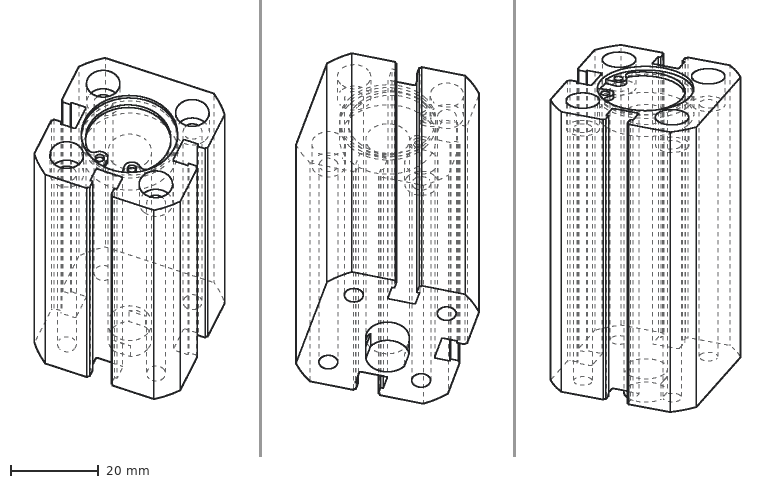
import cadquery as cq
import math

HOUSING_WIDTH = 36.0
CORNER_DIAMETER = 44.9
TOTAL_LENGTH = 78.0
ROD_PROTRUSION = 6.0
HOUSING_HEIGHT = TOTAL_LENGTH - ROD_PROTRUSION

SLOT_MOUTH_WIDTH = 5.3
SLOT_INNER_WIDTH = 6.55
SLOT_LIP_DEPTH = 2.35
SLOT_DEPTH = 6.0
SLOT_EDGE_RADIUS = 0.5
SLOT_FLOOR_RADIUS = 0.3
SLOT_SIDE_ANGLES = (-90, 0, 180)

HOLE_SPACING = 22.0
HOLE_DIAMETER = 4.3
COUNTERBORE_DIAMETER = 7.65
COUNTERBORE_DEPTH = 7.0

BORE_DIAMETER = 22.0
RING_RECESS = 0.9
RING_THICKNESS = 1.0
RING_OPENING_DIAMETER = 19.5
RING_OPENING_OFFSET = 0.8
LUG_RADIUS = 1.9
LUG_BLEND_RADIUS = 1.55
LUG_HOLE_DIAMETER = 2.0
LUG_X = 4.0
LUG_Y = -8.3
LUG_FOOT_X = 2.4

CAP_THICKNESS = 4.7

RING_TOP = HOUSING_HEIGHT - RING_RECESS
RING_BOTTOM = RING_TOP - RING_THICKNESS
CAP_BOTTOM = RING_BOTTOM - CAP_THICKNESS

ROD_DIAMETER = 10.0
FLATS_WIDTH = 9.1
ROD_COLLAR_LENGTH = 1.5


def make_slot_cutter(side_angle):
    """T-slot prism opening through the side that faces side_angle."""
    outer = HOUSING_WIDTH / 2
    edge = SLOT_EDGE_RADIUS
    corner = SLOT_FLOOR_RADIUS
    mouth = SLOT_MOUTH_WIDTH / 2
    inner = SLOT_INNER_WIDTH / 2
    lip = outer - SLOT_LIP_DEPTH
    floor = outer - SLOT_DEPTH
    return (
        cq.Workplane("XY")
        .moveTo(outer, -mouth - edge)
        .radiusArc((outer - edge, -mouth), edge)
        .lineTo(lip, -mouth)
        .lineTo(lip, -inner)
        .lineTo(floor + corner, -inner)
        .radiusArc((floor, -inner + corner), corner)
        .lineTo(floor, inner - corner)
        .radiusArc((floor + corner, inner), corner)
        .lineTo(lip, inner)
        .lineTo(lip, mouth)
        .lineTo(outer - edge, mouth)
        .radiusArc((outer, mouth + edge), edge)
        .close()
        .extrude(HOUSING_HEIGHT)
        .rotate((0, 0, 0), (0, 0, 1), side_angle)
    )


def make_housing():
    block = cq.Workplane("XY").rect(HOUSING_WIDTH, HOUSING_WIDTH).extrude(HOUSING_HEIGHT)
    corner_cylinder = cq.Workplane("XY").circle(CORNER_DIAMETER / 2).extrude(HOUSING_HEIGHT)
    housing = block.intersect(corner_cylinder)
    for side_angle in SLOT_SIDE_ANGLES:
        housing = housing.cut(make_slot_cutter(side_angle))
    housing = (
        housing.faces(">Z")
        .workplane(origin=(0, 0, 0))
        .rect(HOLE_SPACING, HOLE_SPACING, forConstruction=True)
        .vertices()
        .cboreHole(HOLE_DIAMETER, COUNTERBORE_DIAMETER, COUNTERBORE_DEPTH)
    )
    cap_bore = (
        cq.Workplane("XY", origin=(0, 0, CAP_BOTTOM))
        .circle(BORE_DIAMETER / 2)
        .extrude(HOUSING_HEIGHT - CAP_BOTTOM)
    )
    rod_bore = cq.Workplane("XY").circle(ROD_DIAMETER / 2).extrude(CAP_BOTTOM)
    return housing.cut(cap_bore).cut(rod_bore)


def point_towards(start, target, distance):
    """Point at the given distance from start on the line to target."""
    ratio = distance / math.dist(start, target)
    return (
        start[0] + ratio * (target[0] - start[0]),
        start[1] + ratio * (target[1] - start[1]),
    )


def mirrored(point):
    return (-point[0], point[1])


def make_ring():
    """Internal retaining ring: eccentric opening, two lugs with plier holes, open at -Y."""
    bore_radius = BORE_DIAMETER / 2
    opening_radius = RING_OPENING_DIAMETER / 2
    opening_center = (0, -RING_OPENING_OFFSET)
    opening_top = (0, opening_radius - RING_OPENING_OFFSET)
    lug_center = (LUG_X, LUG_Y)

    to_opening = opening_radius - LUG_BLEND_RADIUS
    to_lug = LUG_RADIUS + LUG_BLEND_RADIUS
    center_gap = math.dist(opening_center, lug_center)
    lug_direction = math.atan2(LUG_Y + RING_OPENING_OFFSET, LUG_X)
    blend_turn = math.acos(
        (to_opening**2 + center_gap**2 - to_lug**2) / (2 * to_opening * center_gap)
    )
    blend_direction = lug_direction + blend_turn
    blend_center = (
        to_opening * math.cos(blend_direction),
        to_opening * math.sin(blend_direction) - RING_OPENING_OFFSET,
    )
    blend_start = point_towards(opening_center, blend_center, opening_radius)
    blend_bottom = (blend_center[0], blend_center[1] - LUG_BLEND_RADIUS)
    blend_end = point_towards(lug_center, blend_center, LUG_RADIUS)

    lug_top = (LUG_X, LUG_Y + LUG_RADIUS)
    lug_side = (LUG_X - LUG_RADIUS, LUG_Y)
    foot = (LUG_FOOT_X, -math.sqrt(bore_radius**2 - LUG_FOOT_X**2))

    return (
        cq.Workplane("XY", origin=(0, 0, RING_BOTTOM))
        .moveTo(*foot)
        .lineTo(*lug_side)
        .threePointArc(lug_top, blend_end)
        .threePointArc(blend_bottom, blend_start)
        .threePointArc(opening_top, mirrored(blend_start))
        .threePointArc(mirrored(blend_bottom), mirrored(blend_end))
        .threePointArc(mirrored(lug_top), mirrored(lug_side))
        .lineTo(*mirrored(foot))
        .threePointArc((0, bore_radius), foot)
        .close()
        .pushPoints([lug_center, mirrored(lug_center)])
        .circle(LUG_HOLE_DIAMETER / 2)
        .extrude(RING_THICKNESS)
    )


def make_cap():
    return (
        cq.Workplane("XY", origin=(0, 0, CAP_BOTTOM))
        .circle(BORE_DIAMETER / 2)
        .extrude(CAP_THICKNESS)
    )


def make_rod():
    """Round rod from the cap to below the housing, with sloped run-outs above its flats."""
    rod = (
        cq.Workplane("XY", origin=(0, 0, -ROD_PROTRUSION))
        .circle(ROD_DIAMETER / 2)
        .extrude(ROD_PROTRUSION + CAP_BOTTOM)
    )
    rod_radius = ROD_DIAMETER / 2
    flat_depth = rod_radius - FLATS_WIDTH / 2
    for side in (-1, 1):
        flat_cutter = (
            cq.Workplane("YZ")
            .polyline([
                (side * rod_radius, -ROD_COLLAR_LENGTH),
                (side * FLATS_WIDTH / 2, -ROD_COLLAR_LENGTH - flat_depth),
                (side * FLATS_WIDTH / 2, -ROD_PROTRUSION),
                (side * rod_radius, -ROD_PROTRUSION),
            ])
            .close()
            .extrude(rod_radius, both=True)
        )
        rod = rod.cut(flat_cutter)
    return rod


housing = make_housing()
ring = make_ring()
cap = make_cap()
rod = make_rod()
result = cq.Compound.makeCompound([housing.val(), ring.val(), cap.val(), rod.val()])